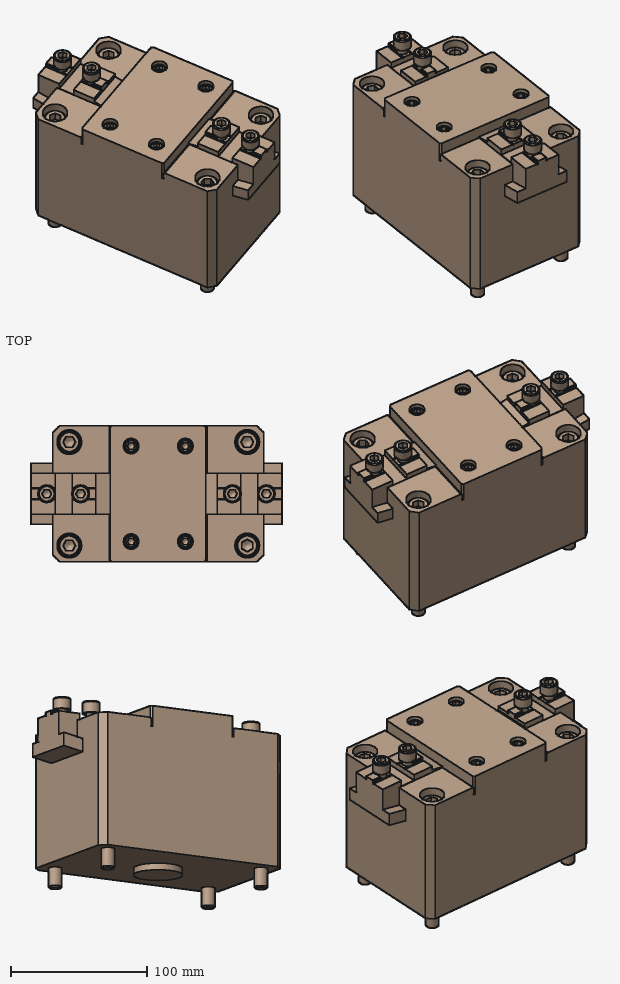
import cadquery as cq
import math

BODY_LENGTH = 155.0
BODY_WIDTH = 100.0
BODY_HEIGHT = 100.0
BODY_CORNER_CHAMFER = 5.2

PLATE_LEFT_X = -35.4
PLATE_RIGHT_X = 34.9
PLATE_TOP_Z = 109.0
PLATE_THICKNESS = 15.5
PLATE_CORNER_CHAMFER = 1.3
POCKET_HALF_LENGTH = 36.0
POCKET_EDGE_BEVEL = POCKET_HALF_LENGTH - PLATE_RIGHT_X

SPIGOT_DIAMETER = 36.0
SPIGOT_HEIGHT = 5.0

CORNER_SCREW_X = 65.3
CORNER_SCREW_Y = 38.0
CORNER_BORE_DIAMETER = 18.0
CORNER_HEAD_DIAMETER = 16.0
CORNER_HEAD_HEIGHT = 10.0
CORNER_HEAD_RECESS = 5.0
CORNER_SOCKET_FLATS = 8.0
CORNER_SHANK_DIAMETER = 10.0
CORNER_SHANK_PROTRUSION = 15.0
CORNER_TIP_CHAMFER = 1.1
TURNED_SOCKET_ANGLE = 30

PLATE_SCREW_X = 20.0
PLATE_SCREW_Y = 35
PLATE_BORE_DIAMETER = 11.2
PLATE_HEAD_DIAMETER = 10.0
PLATE_HEAD_HEIGHT = 6.0
PLATE_HEAD_RECESS = 1.8
PLATE_SOCKET_FLATS = 5.0

OVERALL_LENGTH = 184.4
JAW_OUTER_X = -93.5
JAW_SLOPE = math.tan(math.radians(10))
JAW_STEM_WIDTH = 30.0
JAW_FLANGE_WIDTH = 45.0
JAW_FLANGE_THICKNESS = 10.0
JAW_FLANGE_TOP_Z = 87.4
JAW_TOP_Z = 105.1
JAW_CHANNEL_Z = 100.3
JAW_CHANNEL_OUTER_X = -75.5
JAW_CHANNEL_INNER_X = -63.2
JAW_INNER_PAD_X = -45.7
JAW_TAIL_Z = 102.2
JAW_PLATE_OVERLAP = 3.7
JAW_TAIL_END_X = PLATE_LEFT_X + JAW_PLATE_OVERLAP
STEM_SLOT_DEPTH = 9.2
RIGHT_JAW_RETRACTION = 2 * abs(JAW_OUTER_X) - OVERALL_LENGTH

KEY_WIDTH = 8.5
KEY_HEIGHT = 2.4
KEY_LENGTH = 7.4
KEY_TOP_CHAMFER = 0.5
KEY_RELIEF_DEPTH = 0.5
KEY_UNDERCUT = 0.5
KEY_GROOVE_WIDTH = 0.83

JAW_SCREW_X = (-81.9, -57.0)
JAW_SCREW_TOP_Z = 118.5
JAW_HEAD_DIAMETER = 13
JAW_HEAD_HEIGHT = 8.7
JAW_SHANK_DIAMETER = 8.0
JAW_SHANK_EMBEDMENT = 1.8
JAW_SOCKET_FLATS = 6.0

HEAD_CHAMFER = 1.0
SOCKET_DEPTH_RATIO = 0.6
DRILL_POINT_HALF_ANGLE = math.radians(59)


def cylinder(x, y, bottom, diameter, height):
    return cq.Workplane("XY", origin=(x, y, bottom)).circle(diameter / 2).extrude(height)


def block(x_min, x_max, width, z_min, z_max):
    outline = cq.Workplane("XY", origin=((x_min + x_max) / 2, 0, z_min))
    return outline.rect(x_max - x_min, width).extrude(z_max - z_min)


def hex_socket(x, y, top, flats, depth, angle):
    """Hexagonal recess whose floor is a drill-point cone."""
    corner_radius = flats / math.sqrt(3)
    cone_depth = corner_radius / math.tan(DRILL_POINT_HALF_ANGLE)
    hexagon = cq.Workplane("XY").polygon(6, 2 * corner_radius).extrude(-depth - cone_depth)
    drill_profile = [
        (0, 0),
        (corner_radius, 0),
        (corner_radius, -depth),
        (0, -depth - cone_depth),
    ]
    drill = cq.Workplane("XZ").polyline(drill_profile).close().revolve(360, (0, 0), (0, 1))
    socket = hexagon.intersect(drill)
    return socket.rotate((0, 0, 0), (0, 0, 1), angle).translate((x, y, top))


def socket_head(x, y, top, diameter, height, flats, angle=0):
    head = cylinder(x, y, top - height, diameter, height)
    head = head.faces(">Z").chamfer(HEAD_CHAMFER)
    return head.cut(hex_socket(x, y, top, flats, SOCKET_DEPTH_RATIO * height, angle))


def make_body():
    body = block(-BODY_LENGTH / 2, BODY_LENGTH / 2, BODY_WIDTH, 0, BODY_HEIGHT)
    body = body.edges("|Z").chamfer(BODY_CORNER_CHAMFER)
    spigot = cylinder(0, 0, -SPIGOT_HEIGHT, SPIGOT_DIAMETER, SPIGOT_HEIGHT)
    return body.union(spigot)


def make_plate():
    plate_bottom = PLATE_TOP_Z - PLATE_THICKNESS
    plate = block(PLATE_LEFT_X, PLATE_RIGHT_X, BODY_WIDTH, plate_bottom, PLATE_TOP_Z)
    return plate.edges("|Z").chamfer(PLATE_CORNER_CHAMFER)


def make_plate_pocket():
    """Pocket filled by the plate, with bevelled upper edges."""
    pocket_bottom = PLATE_TOP_Z - PLATE_THICKNESS
    pocket = block(PLATE_LEFT_X, PLATE_RIGHT_X, BODY_WIDTH, pocket_bottom, BODY_HEIGHT)
    bevel_profile = [
        (-POCKET_HALF_LENGTH, BODY_HEIGHT),
        (-POCKET_HALF_LENGTH + POCKET_EDGE_BEVEL, BODY_HEIGHT - POCKET_EDGE_BEVEL),
        (POCKET_HALF_LENGTH - POCKET_EDGE_BEVEL, BODY_HEIGHT - POCKET_EDGE_BEVEL),
        (POCKET_HALF_LENGTH, BODY_HEIGHT),
    ]
    bevel = cq.Workplane("XZ").polyline(bevel_profile).close().extrude(BODY_WIDTH / 2, both=True)
    return pocket.union(bevel)


def sloped_z(start_z, start_x, x):
    """Height at x of a jaw face that falls toward the middle of the part."""
    return start_z - JAW_SLOPE * (x - start_x)


def make_jaw_key(outer_x):
    """Raised key with chamfered top edges."""
    key = block(outer_x, outer_x + KEY_LENGTH, KEY_WIDTH, JAW_TOP_Z, JAW_TOP_Z + KEY_HEIGHT)
    return key.faces(">Z").edges("|X").chamfer(KEY_TOP_CHAMFER)


def make_key_grooves():
    """Pair of grooves along both pads that also undercut the keys."""
    centre_offset = KEY_WIDTH / 2 - KEY_UNDERCUT + KEY_GROOVE_WIDTH / 2
    groove_bottom = JAW_TOP_Z - KEY_RELIEF_DEPTH
    groove_top = JAW_TOP_Z + KEY_RELIEF_DEPTH
    groove = block(JAW_OUTER_X, JAW_INNER_PAD_X, KEY_GROOVE_WIDTH, groove_bottom, groove_top)
    return groove.translate((0, centre_offset, 0)).union(groove.translate((0, -centre_offset, 0)))


def make_jaw():
    flange_bottom_z = JAW_FLANGE_TOP_Z - JAW_FLANGE_THICKNESS
    flange_profile = [
        (JAW_OUTER_X, JAW_FLANGE_TOP_Z),
        (JAW_TAIL_END_X, sloped_z(JAW_FLANGE_TOP_Z, JAW_OUTER_X, JAW_TAIL_END_X)),
        (JAW_TAIL_END_X, sloped_z(flange_bottom_z, JAW_OUTER_X, JAW_TAIL_END_X)),
        (JAW_OUTER_X, flange_bottom_z),
    ]
    stem_profile = [
        (JAW_OUTER_X, flange_bottom_z),
        (JAW_OUTER_X, JAW_TOP_Z),
        (JAW_CHANNEL_OUTER_X, JAW_TOP_Z),
        (JAW_CHANNEL_OUTER_X, JAW_CHANNEL_Z),
        (JAW_CHANNEL_INNER_X, JAW_CHANNEL_Z),
        (JAW_CHANNEL_INNER_X, JAW_TOP_Z),
        (JAW_INNER_PAD_X, JAW_TOP_Z),
        (JAW_INNER_PAD_X, JAW_TAIL_Z),
        (JAW_TAIL_END_X, sloped_z(JAW_TAIL_Z, JAW_INNER_PAD_X, JAW_TAIL_END_X)),
        (JAW_TAIL_END_X, sloped_z(flange_bottom_z, JAW_OUTER_X, JAW_TAIL_END_X)),
    ]
    section = cq.Workplane("XZ")
    flange = section.polyline(flange_profile).close().extrude(JAW_FLANGE_WIDTH / 2, both=True)
    jaw = section.polyline(stem_profile).close().extrude(JAW_STEM_WIDTH / 2, both=True).union(flange)
    for key_x in (JAW_OUTER_X, JAW_INNER_PAD_X - KEY_LENGTH):
        jaw = jaw.union(make_jaw_key(key_x))
    return jaw.cut(make_key_grooves())


def make_jaw_screw(x):
    head_bottom = JAW_SCREW_TOP_Z - JAW_HEAD_HEIGHT
    shank_bottom = JAW_TOP_Z - JAW_SHANK_EMBEDMENT
    shank = cylinder(x, 0, shank_bottom, JAW_SHANK_DIAMETER, head_bottom - shank_bottom)
    head = socket_head(x, 0, JAW_SCREW_TOP_Z, JAW_HEAD_DIAMETER, JAW_HEAD_HEIGHT, JAW_SOCKET_FLATS)
    return head.union(shank)


def make_stem_slot(x_min, x_max):
    """Slot that opens the body top for a jaw stem."""
    return block(x_min, x_max, JAW_STEM_WIDTH, BODY_HEIGHT - STEM_SLOT_DEPTH, BODY_HEIGHT)


def make_corner_screw(x, y, socket_angle):
    """Shank end below the body and recessed head, as separate pieces."""
    head_top = BODY_HEIGHT - CORNER_HEAD_RECESS
    shank = cylinder(
        x, y, -CORNER_SHANK_PROTRUSION, CORNER_SHANK_DIAMETER, CORNER_SHANK_PROTRUSION
    )
    shank = shank.faces("<Z").chamfer(CORNER_TIP_CHAMFER)
    head = socket_head(
        x, y, head_top, CORNER_HEAD_DIAMETER, CORNER_HEAD_HEIGHT, CORNER_SOCKET_FLATS, socket_angle
    )
    return shank, head


def add_recessed_head(part, x, y, surface_z, bore_diameter, recess, head, head_height):
    bore_depth = recess + head_height
    bore = cylinder(x, y, surface_z - bore_depth, bore_diameter, bore_depth)
    return part.cut(bore).union(head)


result = make_body().cut(make_plate_pocket())
left_jaw = make_jaw()
right_jaw = left_jaw.mirror("YZ").translate(
    (-RIGHT_JAW_RETRACTION, 0, -RIGHT_JAW_RETRACTION * JAW_SLOPE)
)
result = result.cut(make_stem_slot(-BODY_LENGTH / 2, PLATE_LEFT_X))
result = result.cut(make_stem_slot(PLATE_RIGHT_X, BODY_LENGTH / 2))
result = result.union(left_jaw).union(right_jaw).union(make_plate())

for screw_x in JAW_SCREW_X:
    result = result.union(make_jaw_screw(screw_x))
    result = result.union(make_jaw_screw(-screw_x - RIGHT_JAW_RETRACTION))

for x in (-CORNER_SCREW_X, CORNER_SCREW_X):
    for y in (-CORNER_SCREW_Y, CORNER_SCREW_Y):
        angle = TURNED_SOCKET_ANGLE if x > 0 > y else 0
        shank, head = make_corner_screw(x, y, angle)
        result = result.union(shank)
        result = add_recessed_head(
            result, x, y, BODY_HEIGHT, CORNER_BORE_DIAMETER, CORNER_HEAD_RECESS, head, CORNER_HEAD_HEIGHT
        )

for x in (-PLATE_SCREW_X, PLATE_SCREW_X):
    for y in (-PLATE_SCREW_Y, PLATE_SCREW_Y):
        head_top = PLATE_TOP_Z - PLATE_HEAD_RECESS
        head = socket_head(
            x, y, head_top, PLATE_HEAD_DIAMETER, PLATE_HEAD_HEIGHT, PLATE_SOCKET_FLATS
        )
        result = add_recessed_head(
            result, x, y, PLATE_TOP_Z, PLATE_BORE_DIAMETER, PLATE_HEAD_RECESS, head, PLATE_HEAD_HEIGHT
        )